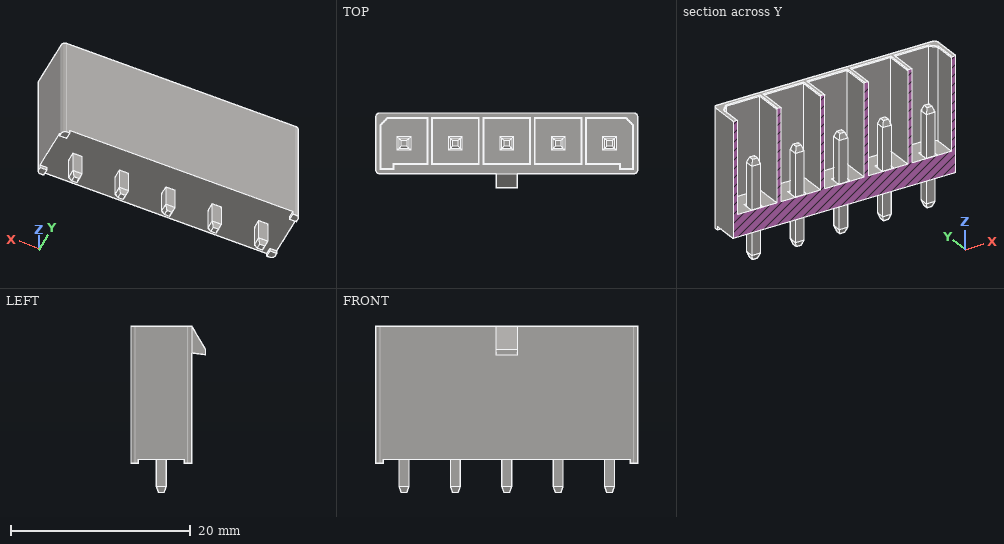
import cadquery as cq

length = 29.15
width = 6.8
total_height = 18.5
body_height = 15.27
corner_radius = 0.47

foot_size = 0.85
foot_height = 0.45

cell_count = 5
pitch = 5.7
cell_length = 5.1
cell_width = 5.05
back_wall = 0.6
floor_thickness = 2.92
mouth_chamfer = 0.102
corner_cut = 0.75
key_length = 1.3
key_depth = 0.52

pin_size = 1.15
pin_end_size = 0.65
pin_tip_height = 0.7
pin_recess = 5.83
funnel_size = 1.52

latch_width = 2.35
latch_reach = 1.55
latch_slope_height = 2.62
latch_outer_bottom = 3.2
latch_inner_bottom = 3.0

rim_z = total_height
feet_z = rim_z - body_height
underside_z = feet_z + foot_height
floor_z = underside_z + floor_thickness
pin_top_z = rim_z - pin_recess
cell_back = width / 2 - back_wall
cell_front = cell_back - cell_width
first_cell_x = -pitch * (cell_count - 1) / 2
cell_centres = [first_cell_x + i * pitch for i in range(cell_count)]


def make_housing():
    """Rounded block with the underside relieved to leave four corner feet."""
    block = (
        cq.Workplane("XY", origin=(0, 0, feet_z))
        .rect(length, width)
        .extrude(body_height)
        .edges("|Z")
        .fillet(corner_radius)
    )
    base = cq.Workplane("XY", origin=(0, 0, feet_z))
    lengthwise_relief = base.rect(length, width - 2 * foot_size).extrude(foot_height)
    crosswise_relief = base.rect(length - 2 * foot_size, width).extrude(foot_height)
    return block.cut(lengthwise_relief).cut(crosswise_relief)


def plain_cell(x):
    """Rectangular cell centred at x."""
    return (
        cq.Workplane("XY", origin=(x, 0, floor_z))
        .center(0, (cell_front + cell_back) / 2)
        .rect(cell_length, cell_width)
        .extrude(rim_z - floor_z)
    )


def end_cell(x, side):
    """Cell at one end of the row; side is -1 at the -X end and +1 at the +X end."""
    outer = side * cell_length / 2
    outline = [
        (-outer, cell_front),
        (-outer, cell_back),
        (outer - side * corner_cut, cell_back),
        (outer, cell_back - corner_cut),
        (outer, cell_front - key_depth),
        (outer - side * key_length, cell_front - key_depth),
        (outer - side * key_length, cell_front),
    ]
    return (
        cq.Workplane("XY", origin=(x, 0, floor_z))
        .polyline(outline)
        .close()
        .extrude(rim_z - floor_z)
    )


def square_taper(x, z, start_size, end_size, height):
    """Square frustum from start_size at z to end_size at z + height (height may be negative)."""
    return (
        cq.Workplane("XY", origin=(x, 0, z))
        .rect(start_size, start_size)
        .workplane(offset=height)
        .rect(end_size, end_size)
        .loft(ruled=True)
    )


def make_funnel(x):
    """Square countersink in the cell floor, sloping at 45 degrees down to the pin."""
    depth = (funnel_size - pin_size) / 2
    return square_taper(x, floor_z, funnel_size, pin_size, -depth)


def make_pin(x):
    """Square pin with a blunt pyramid at both ends, its lower end at z = 0."""
    shaft_top = pin_top_z - pin_tip_height
    shaft = (
        cq.Workplane("XY", origin=(x, 0, pin_tip_height))
        .rect(pin_size, pin_size)
        .extrude(shaft_top - pin_tip_height)
    )
    lower_tip = square_taper(x, pin_tip_height, pin_size, pin_end_size, -pin_tip_height)
    upper_tip = square_taper(x, shaft_top, pin_size, pin_end_size, pin_tip_height)
    return shaft.union(lower_tip).union(upper_tip)


def make_latch():
    """Wedge on the front wall that slopes outward from the rim."""
    wall_y = -width / 2
    embed_y = wall_y + back_wall / 2
    tip_y = wall_y - latch_reach
    profile = [
        (embed_y, rim_z),
        (wall_y, rim_z),
        (tip_y, rim_z - latch_slope_height),
        (tip_y, rim_z - latch_outer_bottom),
        (wall_y, rim_z - latch_inner_bottom),
        (embed_y, rim_z - latch_inner_bottom),
    ]
    return (
        cq.Workplane("YZ")
        .polyline(profile)
        .close()
        .extrude(latch_width / 2, both=True)
    )


cells = [end_cell(cell_centres[0], -1)]
cells += [plain_cell(x) for x in cell_centres[1:-1]]
cells += [end_cell(cell_centres[-1], 1)]

result = make_housing()
for cell in cells:
    result = result.cut(cell)

rim_face = result.faces(">Z").val()
mouth_edges = [edge for wire in rim_face.innerWires() for edge in wire.Edges()]
result = result.newObject(mouth_edges).chamfer(mouth_chamfer)

for x in cell_centres:
    result = result.cut(make_funnel(x)).union(make_pin(x))

result = result.union(make_latch())